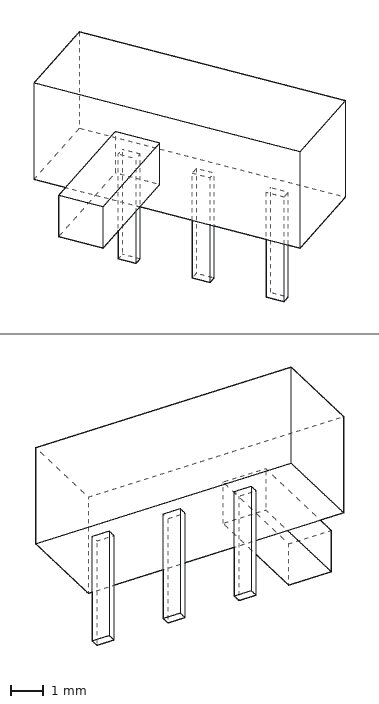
import cadquery as cq

body_length = 9.0
body_depth = 3.2
body_height = 3.5

lever_side = 1.5
lever_reach = 4.0
lever_offset = -1.0

pin_count = 3
pin_pitch = 2.5
pin_width = 0.6
pin_thickness = 0.3
pin_length = 3.8
pin_rear_gap = 0.5


def make_body():
    return cq.Workplane("XY").box(
        body_length, body_depth, body_height, centered=(True, False, False)
    )


def make_lever():
    lever = cq.Workplane("XY").box(
        lever_side, lever_reach, lever_side, centered=(True, False, True)
    )
    return lever.translate((lever_offset, -lever_reach, body_height / 2))


def make_pin(x_center):
    pin = cq.Workplane("XY").box(
        pin_width, pin_thickness, pin_length, centered=(True, False, False)
    )
    pin_front = body_depth - pin_rear_gap - pin_thickness
    return pin.translate((x_center, pin_front, -pin_length))


result = make_body().union(make_lever())
for index in range(pin_count):
    pin_x = (index - (pin_count - 1) / 2) * pin_pitch
    result = result.union(make_pin(pin_x))